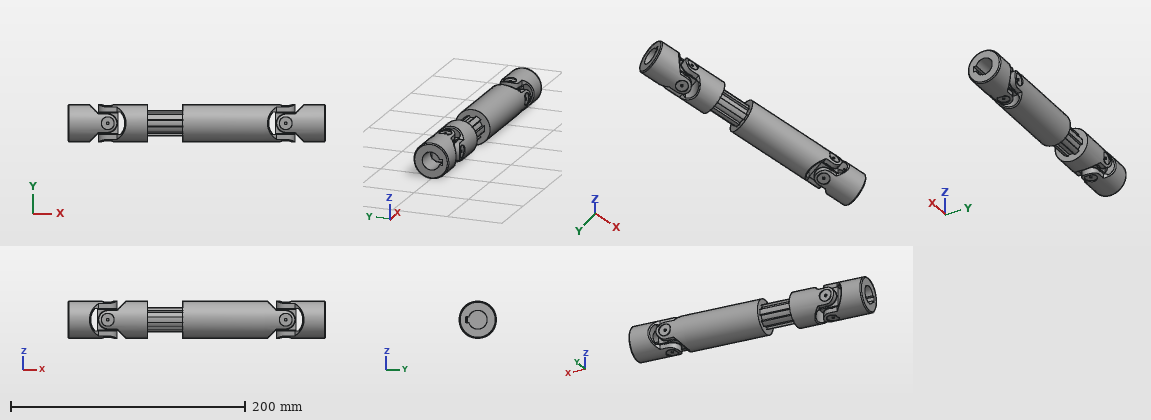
import cadquery as cq
import math

total_length = 220.0
body_diameter = 32.0
body_radius = body_diameter / 2
joint_length = 68.0
joint_reach = joint_length / 2
left_joint_x = joint_reach
right_joint_x = total_length - joint_reach
sleeve_start_x = 98.0
sleeve_seam_x = 168.0
end_chamfer = 1.0

arm_width = 16.0
arm_radius = arm_width / 2
arm_inner_offset = 9.5
slot_floor_radius = 14.5
shoulder_angle = 45.0
shoulder_length = (body_radius - arm_radius) / math.tan(math.radians(shoulder_angle))
shoulder_start = -15.6

pin_diameter = 11.0
pin_tip_offset = 14.7
block_size = 17.8
boss_diameter = 15.5
center_hole_diameter = 2.2
center_hole_depth = 1.0

bore_diameter = 16.0
keyway_width = 5.0
keyway_reach = 10.3

spline_count = 6
spline_major_diameter = 21.8
spline_minor_diameter = 18.0
spline_width = 5.0

ORIGIN = (0, 0, 0)
X_AXIS = (1, 0, 0)
Z_AXIS = (0, 0, 1)


def rod(diameter, x_start, x_end):
    """Round bar along the X axis."""
    return cq.Workplane("YZ", origin=(x_start, 0, 0)).circle(diameter / 2).extrude(x_end - x_start)


def make_fork(hub_length):
    """Fork centred on its joint, with the hub toward -X and the arms at +Z and -Z."""
    fork = rod(body_diameter, -hub_length, arm_radius)

    plan = (
        cq.Workplane("XY")
        .moveTo(-hub_length, -body_radius)
        .lineTo(shoulder_start, -body_radius)
        .lineTo(shoulder_start + shoulder_length, -arm_radius)
        .lineTo(0, -arm_radius)
        .threePointArc((arm_radius, 0), (0, arm_radius))
        .lineTo(shoulder_start + shoulder_length, arm_radius)
        .lineTo(shoulder_start, body_radius)
        .lineTo(-hub_length, body_radius)
        .close()
        .extrude(body_radius, both=True)
    )
    fork = fork.intersect(plan)

    half_chord = math.sqrt(slot_floor_radius**2 - arm_inner_offset**2)
    gap = (
        cq.Workplane("XZ")
        .moveTo(body_radius, -arm_inner_offset)
        .lineTo(-half_chord, -arm_inner_offset)
        .threePointArc((-slot_floor_radius, 0), (-half_chord, arm_inner_offset))
        .lineTo(body_radius, arm_inner_offset)
        .close()
        .extrude(body_radius, both=True)
    )
    pin_hole = cq.Workplane("XY").circle(pin_diameter / 2).extrude(body_radius, both=True)
    return fork.cut(gap).cut(pin_hole)


def turn_end_for_end(body):
    """Half turn about Z, so the hub points toward +X."""
    return body.rotate(ORIGIN, Z_AXIS, 180)


def turn_arms_sideways(body):
    """Quarter turn about X, so the arms stand at +Y and -Y."""
    return body.rotate(ORIGIN, X_AXIS, 90)


def make_end_yoke():
    """Chamfered end hub with a keyed bore; the keyway faces -Y."""
    yoke = make_fork(joint_reach).faces("<X").edges().chamfer(end_chamfer)
    bore = rod(bore_diameter, -joint_reach, 0)
    keyway = cq.Workplane("XY").box(
        joint_reach, keyway_reach, keyway_width, centered=(False, False, True)
    ).translate((-joint_reach, -keyway_reach, 0))
    return yoke.cut(bore).cut(keyway)


def make_cross():
    """Cube with a boss, a pin and a centre hole on each of its four working sides."""
    cross = cq.Workplane("XY").box(block_size, block_size, block_size)
    for normal in ("XY", "XZ"):
        boss = cq.Workplane(normal).circle(boss_diameter / 2).extrude(arm_inner_offset, both=True)
        pin = cq.Workplane(normal).circle(pin_diameter / 2).extrude(pin_tip_offset, both=True)
        cross = cross.union(boss).union(pin)
    for side in ("<Z", ">Z", "<Y", ">Y"):
        cross = cross.faces(side).workplane(centerOption="CenterOfBoundBox").hole(
            center_hole_diameter, center_hole_depth
        )
    return cross


def make_spline(x_start, x_end):
    """Spline bar along the X axis with teeth at +Y and -Y."""
    length = x_end - x_start
    spline = rod(spline_minor_diameter, x_start, x_end)
    for index in range(spline_count // 2):
        bar = cq.Workplane("XY").box(
            length, spline_major_diameter, spline_width, centered=(False, True, True)
        ).translate((x_start, 0, 0))
        spline = spline.union(bar.rotate(ORIGIN, X_AXIS, index * 360 / spline_count))
    return spline.intersect(rod(spline_major_diameter, x_start, x_end))


end_yoke = make_end_yoke()
left_yoke = end_yoke.translate((left_joint_x, 0, 0))
right_yoke = end_yoke.mirror("YZ").translate((right_joint_x, 0, 0))

inner_fork = turn_arms_sideways(make_fork(joint_reach))
hub_end_x = left_joint_x + joint_reach
shaft_yoke = (
    turn_end_for_end(inner_fork)
    .translate((left_joint_x, 0, 0))
    .union(make_spline(hub_end_x, sleeve_seam_x))
)

sleeve_fork = turn_arms_sideways(make_fork(right_joint_x - sleeve_seam_x))
sleeve_tube = rod(body_diameter, sleeve_start_x, sleeve_seam_x).cut(
    make_spline(sleeve_start_x, sleeve_seam_x)
)
sleeve_yoke = sleeve_tube.union(sleeve_fork.translate((right_joint_x, 0, 0)), clean=False)

cross = make_cross()
crosses = [cross.translate((x, 0, 0)) for x in (left_joint_x, right_joint_x)]

result = cq.Compound.makeCompound(
    [left_yoke.val(), shaft_yoke.val(), sleeve_yoke.val(), right_yoke.val()]
    + [body.val() for body in crosses]
)